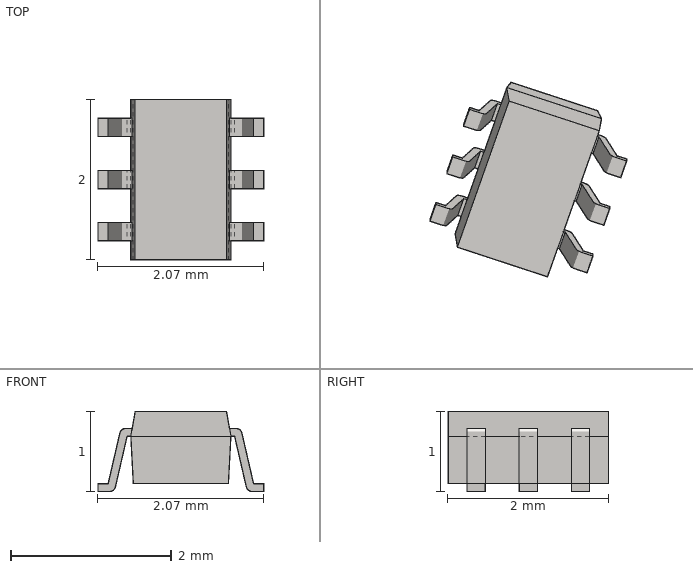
import cadquery as cq
import math


overall_width = 2.07
overall_height = 1.0
body_length = 2.0

parting_width = 1.25
parting_height = 0.69
standoff = 0.1
upper_draft = 10.0
lower_draft = 3.0

lead_thickness = 0.1
lead_width = 0.23
lead_pitch = 0.65
leads_per_side = 3
foot_length = 0.1275
leg_slope = 13.0
bend_radius = 0.08


def taper_inset(height, angle):
    """Sideways shift of a wall that leans by the given angle over the given height."""
    return height * math.tan(math.radians(angle))


def make_body_half(end_height, draft):
    """Body part between the parting plane and a flat end, with drafted long sides."""
    parting_half = parting_width / 2
    end_half = parting_half - taper_inset(abs(end_height - parting_height), draft)
    return (
        cq.Workplane("XZ")
        .moveTo(-parting_half, parting_height)
        .lineTo(-end_half, end_height)
        .lineTo(end_half, end_height)
        .lineTo(parting_half, parting_height)
        .close()
        .extrude(body_length / 2, both=True)
    )


def make_left_lead():
    """Lead on the -X side, centred on Y = 0 and ending flush on the upper body's sloped side."""
    shoulder_bottom = parting_height
    shoulder_top = shoulder_bottom + lead_thickness
    root_bottom_x = -parting_width / 2
    root_top_x = root_bottom_x + taper_inset(lead_thickness, upper_draft)

    tip_x = -overall_width / 2
    foot_bend_x = tip_x + foot_length
    leg_face_gap = lead_thickness / math.cos(math.radians(leg_slope))

    def outer_leg_x(z):
        return foot_bend_x + taper_inset(z - lead_thickness, leg_slope)

    def inner_leg_x(z):
        return outer_leg_x(z) + leg_face_gap

    heel = (inner_leg_x(0), 0)
    shoulder = (outer_leg_x(shoulder_top), shoulder_top)
    lead = (
        cq.Workplane("XZ")
        .moveTo(tip_x, 0)
        .lineTo(*heel)
        .lineTo(inner_leg_x(shoulder_bottom), shoulder_bottom)
        .lineTo(root_bottom_x, shoulder_bottom)
        .lineTo(root_top_x, shoulder_top)
        .lineTo(*shoulder)
        .lineTo(foot_bend_x, lead_thickness)
        .lineTo(tip_x, lead_thickness)
        .close()
        .extrude(lead_width / 2, both=True)
    )

    for x, z in (heel, shoulder):
        bend_edge = cq.selectors.NearestToPointSelector((x, 0, z))
        lead = lead.edges("|Y").edges(bend_edge).fillet(bend_radius)
    return lead


def make_leads():
    """All leads: a row on the -X side and its mirror image on the +X side."""
    left_lead = make_left_lead()
    right_lead = left_lead.mirror("YZ")
    leads = []
    for index in range(leads_per_side):
        y = (index - (leads_per_side - 1) / 2) * lead_pitch
        for lead in (left_lead, right_lead):
            leads.append(lead.translate((0, y, 0)))
    return leads


upper_body = make_body_half(overall_height, upper_draft)
lower_body = make_body_half(standoff, lower_draft)
leads = make_leads()

result = cq.Compound.makeCompound(
    [upper_body.val(), lower_body.val(), *[lead.val() for lead in leads]]
)